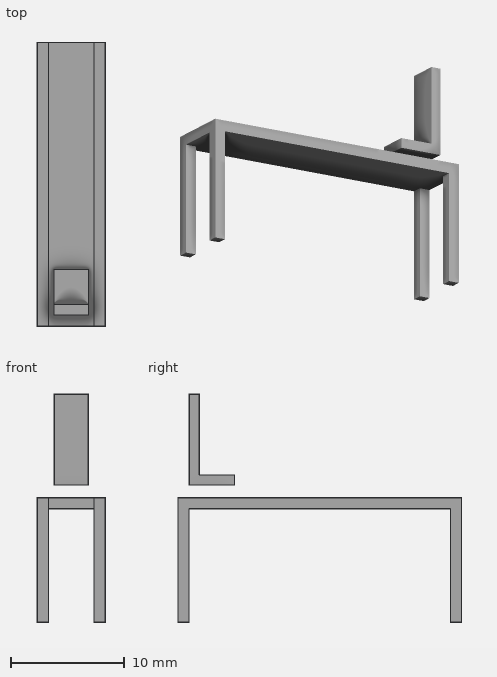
import cadquery as cq

table_length = 25.0
table_width = 6.0
table_height = 11.0
bar = 1.0

seat_width = 3.0
seat_depth = 4.0
seat_height = 8.0
seat_thickness = 0.9
seat_setback = 1.0
seat_clearance = 1.1


def side_frame(x_start):
    """Inverted U: two legs joined by a rail along the top, one bar wide in X."""
    outline = [
        (0, 0),
        (bar, 0),
        (bar, table_height - bar),
        (table_length - bar, table_height - bar),
        (table_length - bar, 0),
        (table_length, 0),
        (table_length, table_height),
        (0, table_height),
    ]
    return cq.Workplane("YZ", origin=(x_start, 0, 0)).polyline(outline).close().extrude(bar)


def table_top():
    """Flat board filling the space between the two rails."""
    return (
        cq.Workplane("XY", origin=(bar, 0, table_height - bar))
        .box(table_width - 2 * bar, table_length, bar, centered=False)
    )


def seat():
    """L-section: a horizontal base with an upright back at its -Y end."""
    outline = [
        (0, 0),
        (seat_depth, 0),
        (seat_depth, seat_thickness),
        (seat_thickness, seat_thickness),
        (seat_thickness, seat_height),
        (0, seat_height),
    ]
    seat_origin = (
        (table_width - seat_width) / 2,
        seat_setback,
        table_height + seat_clearance,
    )
    return cq.Workplane("YZ", origin=seat_origin).polyline(outline).close().extrude(seat_width)


side_frames = [side_frame(x_start) for x_start in (0, table_width - bar)]

result = cq.Compound.makeCompound(
    [frame.val() for frame in side_frames] + [table_top().val(), seat().val()]
)